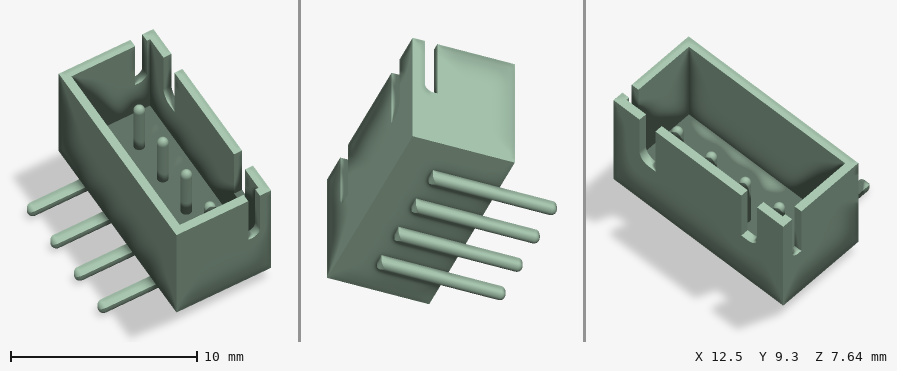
import cadquery as cq

LENGTH = 12.5
DEPTH = 5.9
HEIGHT = 7.0
WALL = 0.5
FLOOR = 1.0

BACK_SLOT_DEPTH = 3.55
BACK_SLOT_INSET = 1.92
BACK_SLOT_WIDTH = 1.16
BACK_SLOT_RADIUS = 0.68
END_SLOT_DEPTH = HEIGHT / 2
END_SLOT_INSET = 0.7
END_SLOT_WIDTH = 0.72
END_SLOT_RADIUS = 0.5

PIN_COUNT = 4
PIN_PITCH = 2.5
PIN_DIAMETER = 0.64
PIN_RADIUS = PIN_DIAMETER / 2
PIN_Y = 3.55
PIN_TOP = 4.5
LEG_OVERHANG = 3.4

PIN_POSITIONS = [(i - (PIN_COUNT - 1) / 2) * PIN_PITCH for i in range(PIN_COUNT)]


def box(x_range, y_range, z_range):
    """Box between two limits on each axis."""
    (x0, x1), (y0, y1), (z0, z1) = x_range, y_range, z_range
    return cq.Workplane("XY").box(x1 - x0, y1 - y0, z1 - z0, centered=False).translate((x0, y0, z0))


def back_slots():
    """Two mirrored slots through the back wall, rounded at their outer bottom corner."""
    left = -LENGTH / 2 + BACK_SLOT_INSET
    slot = box((left, left + BACK_SLOT_WIDTH), (DEPTH - WALL, DEPTH), (HEIGHT - BACK_SLOT_DEPTH, HEIGHT))
    slot = slot.edges("|Y and <X and <Z").fillet(BACK_SLOT_RADIUS)
    return slot.union(slot.mirror("YZ"))


def end_slots():
    """One slot through both end walls, rounded at its rear bottom corner."""
    rear = DEPTH - END_SLOT_INSET
    slot = box((-LENGTH / 2, LENGTH / 2), (rear - END_SLOT_WIDTH, rear), (HEIGHT - END_SLOT_DEPTH, HEIGHT))
    return slot.edges("|X and >Y and <Z").fillet(END_SLOT_RADIUS)


def make_housing():
    """Shell with its slots and a round hole through the floor for each pin."""
    shell = box((-LENGTH / 2, LENGTH / 2), (0, DEPTH), (0, HEIGHT))
    cavity = box((-LENGTH / 2 + WALL, LENGTH / 2 - WALL), (WALL, DEPTH - WALL), (FLOOR, HEIGHT))
    holes = (
        cq.Workplane("XY")
        .pushPoints([(x, PIN_Y) for x in PIN_POSITIONS])
        .circle(PIN_RADIUS)
        .extrude(FLOOR)
    )
    return shell.cut(cavity).cut(back_slots()).cut(end_slots()).cut(holes)


def pin_upright():
    """Round post with a domed top on the Z axis, rising from mid-thickness of the leg."""
    post_height = PIN_TOP - PIN_RADIUS
    post = cq.Workplane("XY", origin=(0, 0, -PIN_RADIUS)).circle(PIN_RADIUS).extrude(post_height + PIN_RADIUS)
    dome = cq.Workplane("XY").sphere(PIN_RADIUS).translate((0, 0, post_height))
    return post.union(dome)


def heel_waste():
    """Material outside the quarter-round heel at the rear lower corner of the leg."""
    r = PIN_RADIUS
    corner = box((-r, r), (0, r), (-PIN_DIAMETER, -r))
    heel = cq.Workplane("YZ", origin=(-r, 0, -r)).circle(r).extrude(PIN_DIAMETER)
    return corner.cut(heel)


def pin_leg():
    """Leg toward -Y: flat top and sides, half-round underside, rounded heel and tip."""
    r = PIN_RADIUS
    length = PIN_Y + LEG_OVERHANG
    tip_y = r - length
    bar = (
        cq.Workplane("XZ", origin=(0, r, 0))
        .moveTo(-r, 0)
        .lineTo(-r, -r)
        .threePointArc((0, -PIN_DIAMETER), (r, -r))
        .lineTo(r, 0)
        .close()
        .extrude(r - tip_y)
        .cut(heel_waste())
    )
    plan_round = cq.Workplane("XY", origin=(0, tip_y, -r)).circle(r).extrude(r)
    profile_round = cq.Workplane("YZ", origin=(-r, tip_y, -r)).circle(r).extrude(PIN_DIAMETER)
    upper_tip = plan_round.intersect(profile_round)
    lower_tip = cq.Workplane("XY").sphere(r).translate((0, tip_y, -r))
    return bar.union(upper_tip).union(lower_tip)


def make_pin(x):
    """One bent pin with its upright at the given X."""
    return pin_upright().union(pin_leg()).translate((x, PIN_Y, 0))


housing = make_housing()
pins = [make_pin(x) for x in PIN_POSITIONS]

result = cq.Compound.makeCompound([housing.val(), *[pin.val() for pin in pins]])